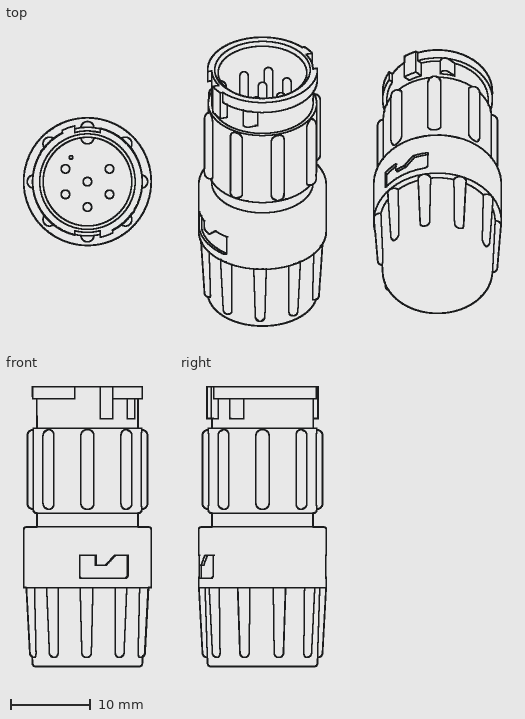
import cadquery as cq
import math

TOTAL_HEIGHT = 35.05
COLLAR_BOTTOM = 9.9
COLLAR_TOP = 17.48
SLEEVE_BOTTOM = 19.2
SLEEVE_TOP = 29.85
FLANGE_THICKNESS = 1.55
KEY_LENGTH = 4.0

CAP_BOTTOM_RADIUS = 6.88
CAP_TOP_RADIUS = 7.22
COLLAR_RADIUS = 8.0
NECK_RADIUS = 6.35
SLEEVE_RADIUS = 6.8
FLANGE_RADIUS = 6.88
CAP_ROUND = 0.45
COLLAR_ROUND = 0.33
SLEEVE_ROUND = 0.42

CAP_CLOCKING = 17.1

SLEEVE_RIB_COUNT = 8
SLEEVE_RIB_RADIUS = 0.82
SLEEVE_RIB_TIP = 7.53
SLEEVE_RIB_BOTTOM = 19.7
SLEEVE_RIB_TOP = 29.65
SLEEVE_RIB_ROUND = 0.73

CAP_RIB_COUNT = 10
CAP_RIB_TOP_RADIUS = 0.8
CAP_RIB_BOTTOM_RADIUS = 0.6
CAP_RIB_TOP_CENTRE = 7.18
CAP_RIB_BOTTOM_CENTRE = 6.93
CAP_RIB_BALL_HEIGHT = 1.75
RIB_OVERLAP = 0.1

RECESS_DEPTH = 0.33
RECESS_BOTTOM = 11.05
RECESS_STEP = 12.72
RECESS_TOP = 13.95
RECESS_LEFT = -3.24
RECESS_ARM_EDGE = -1.3
RECESS_RIGHT = 3.06
RECESS_LEFT_CORNER = 0.25
RECESS_RIGHT_CORNER = 0.45

GAP_HALF_WIDTH = 1.58
KEY_OUTER_X = 3.15
KEY_RADIUS = 7.15
SIDE_KEY_X = 5.9
SIDE_KEY_NOSE_Y = 3.47
SIDE_KEY_NOSE_RADIUS = 0.6

BORE_RADIUS = 5.55
BORE_CHAMFER = 0.43
BORE_DEPTH = 10.0
PIN_RADIUS = 0.53
PIN_CIRCLE_RADIUS = 3.18
PIN_TIP_DEPTH = 2.05
BORE_KEY_RADIUS = 0.82
BORE_KEY_TIP_DEPTH = 0.72
MARK_RADIUS = 0.22
MARK_X = -2.05
MARK_Y = 3.03

FLANGE_BOTTOM = TOTAL_HEIGHT - FLANGE_THICKNESS
KEY_BOTTOM = TOTAL_HEIGHT - KEY_LENGTH
BORE_FLOOR = TOTAL_HEIGHT - BORE_DEPTH
AXIS_START = (0, 0, 0)
AXIS_END = (0, 0, 1)


def disc(radius, bottom, top):
    """Cylinder on the connector axis between two heights."""
    return cq.Workplane("XY").workplane(offset=bottom).circle(radius).extrude(top - bottom)


def box(x_min, x_max, y_min, y_max, z_min, z_max):
    """Axis-aligned box between the given limits."""
    return cq.Workplane("XY").box(
        x_max - x_min, y_max - y_min, z_max - z_min, centered=False
    ).translate((x_min, y_min, z_min))


def spin(shape, angle):
    """Rotate a shape about the connector axis."""
    return shape.rotate(AXIS_START, AXIS_END, angle)


def make_cap():
    """Slightly conical rear cap with a rounded bottom edge."""
    profile = [
        (0, 0),
        (CAP_BOTTOM_RADIUS, 0),
        (CAP_TOP_RADIUS, COLLAR_BOTTOM),
        (0, COLLAR_BOTTOM),
    ]
    cap = cq.Workplane("XZ").polyline(profile).close().revolve(360, (0, 0), (0, 1))
    cap = cap.faces("<Z").edges().fillet(CAP_ROUND)
    return spin(cap, CAP_CLOCKING - 90)


def make_cap_rib():
    """Tapered rib lying along the -Y side of the cap, with a ball at its lower end."""
    height = COLLAR_BOTTOM - CAP_RIB_BALL_HEIGHT
    lean = CAP_RIB_TOP_CENTRE - CAP_RIB_BOTTOM_CENTRE
    lean_angle = math.degrees(math.atan2(lean, height))
    diagonal = math.sqrt(0.5) * CAP_RIB_BOTTOM_RADIUS
    rib = (
        cq.Workplane("YZ")
        .moveTo(0, -CAP_RIB_BOTTOM_RADIUS)
        .threePointArc((diagonal, -diagonal), (CAP_RIB_BOTTOM_RADIUS, 0))
        .lineTo(CAP_RIB_TOP_RADIUS, height + RIB_OVERLAP)
        .lineTo(0, height + RIB_OVERLAP)
        .close()
        .revolve(360, (0, 0), (0, 1))
    )
    rib = rib.rotate(AXIS_START, (1, 0, 0), lean_angle)
    rib = rib.translate((0, -CAP_RIB_BOTTOM_CENTRE, CAP_RIB_BALL_HEIGHT))
    below_collar = disc(COLLAR_RADIUS + CAP_RIB_TOP_RADIUS, 0, COLLAR_BOTTOM)
    return rib.intersect(below_collar)


def make_recess():
    """Hooked bayonet recess on the -Y side of the collar."""
    slope_width = RECESS_TOP - RECESS_STEP
    outline = [
        (RECESS_LEFT, RECESS_BOTTOM),
        (RECESS_RIGHT, RECESS_BOTTOM),
        (RECESS_RIGHT, RECESS_TOP),
        (slope_width, RECESS_TOP),
        (0, RECESS_STEP),
        (RECESS_ARM_EDGE, RECESS_STEP),
        (RECESS_ARM_EDGE, RECESS_TOP),
        (RECESS_LEFT, RECESS_TOP),
    ]
    hook = cq.Workplane("XZ").polyline(outline).close().extrude(COLLAR_RADIUS + 1)
    hook = hook.faces("<Z").edges("<X").fillet(RECESS_LEFT_CORNER)
    hook = hook.faces("<Z").edges(">X").fillet(RECESS_RIGHT_CORNER)
    return hook.cut(disc(COLLAR_RADIUS - RECESS_DEPTH, 0, TOTAL_HEIGHT))


def make_collar():
    """Wide collar with a rounded upper edge and two opposite recesses."""
    collar = disc(COLLAR_RADIUS, COLLAR_BOTTOM, COLLAR_TOP)
    collar = collar.faces(">Z").edges().fillet(COLLAR_ROUND)
    recess = make_recess()
    for half_turn in (0, 180):
        collar = collar.cut(spin(recess, CAP_CLOCKING + half_turn))
    return collar


def make_sleeve():
    """Coupling sleeve with a rounded lower edge and round-ended ribs."""
    sleeve = disc(SLEEVE_RADIUS, SLEEVE_BOTTOM, SLEEVE_TOP)
    sleeve = sleeve.faces("<Z").edges().fillet(SLEEVE_ROUND)
    rib = disc(SLEEVE_RIB_RADIUS, SLEEVE_RIB_BOTTOM, SLEEVE_RIB_TOP)
    rib = rib.faces("<Z or >Z").edges().fillet(SLEEVE_RIB_ROUND)
    rib = rib.translate((SLEEVE_RIB_TIP - SLEEVE_RIB_RADIUS, 0, 0))
    for index in range(SLEEVE_RIB_COUNT):
        sleeve = sleeve.union(spin(rib, index * 360 / SLEEVE_RIB_COUNT))
    return sleeve


def make_side_key():
    """Key under the flange on the +X, -Y side: flat outer face running into a round nose."""
    nose_x = SIDE_KEY_X - SIDE_KEY_NOSE_RADIUS
    inner_x = nose_x - SIDE_KEY_NOSE_RADIUS
    flat = box(inner_x, SIDE_KEY_X, -SIDE_KEY_NOSE_Y, 0, KEY_BOTTOM, FLANGE_BOTTOM)
    nose = disc(SIDE_KEY_NOSE_RADIUS, KEY_BOTTOM, FLANGE_BOTTOM)
    return flat.union(nose.translate((nose_x, -SIDE_KEY_NOSE_Y, 0)))


def make_flange():
    """Mouth flange with two opposite gaps, plus the coding keys beside and below it."""
    flange = disc(FLANGE_RADIUS, FLANGE_BOTTOM, TOTAL_HEIGHT)
    gap = box(-GAP_HALF_WIDTH, GAP_HALF_WIDTH, -COLLAR_RADIUS, COLLAR_RADIUS, FLANGE_BOTTOM, TOTAL_HEIGHT)
    flange = flange.cut(gap)
    key = box(GAP_HALF_WIDTH, KEY_OUTER_X, -COLLAR_RADIUS, 0, KEY_BOTTOM, TOTAL_HEIGHT)
    key = key.intersect(disc(KEY_RADIUS, KEY_BOTTOM, TOTAL_HEIGHT))
    side_key = make_side_key()
    for half_turn in (0, 180):
        flange = flange.union(spin(key, half_turn))
        flange = flange.union(spin(side_key, half_turn))
    return flange


def make_bore():
    """Blind socket with a chamfered mouth."""
    bore = disc(BORE_RADIUS, BORE_FLOOR, TOTAL_HEIGHT)
    mouth = cq.Solid.makeCone(
        BORE_RADIUS,
        BORE_RADIUS + BORE_CHAMFER,
        BORE_CHAMFER,
        cq.Vector(0, 0, TOTAL_HEIGHT - BORE_CHAMFER),
    )
    return bore.union(cq.Workplane(mouth))


def domed_pin(x, y, radius, tip_depth):
    """Round pin standing on the socket floor with a hemispherical tip."""
    ball_height = TOTAL_HEIGHT - tip_depth - radius
    shank = disc(radius, BORE_FLOOR, ball_height)
    ball = cq.Workplane("XY").sphere(radius).translate((0, 0, ball_height))
    return shank.union(ball).translate((x, y, 0))


def add_contacts(body):
    """Centre contact, five contacts on a hexagon, and the domed key in the socket wall."""
    body = body.union(domed_pin(0, 0, PIN_RADIUS, PIN_TIP_DEPTH))
    for angle in (30, 150, 210, 270, 330):
        x = PIN_CIRCLE_RADIUS * math.cos(math.radians(angle))
        y = PIN_CIRCLE_RADIUS * math.sin(math.radians(angle))
        body = body.union(domed_pin(x, y, PIN_RADIUS, PIN_TIP_DEPTH))
    return body.union(domed_pin(0, BORE_RADIUS, BORE_KEY_RADIUS, BORE_KEY_TIP_DEPTH))


body = make_cap()
cap_rib = make_cap_rib()
rib_pitch = 360 / CAP_RIB_COUNT
for index in range(CAP_RIB_COUNT):
    body = body.union(spin(cap_rib, CAP_CLOCKING + (index + 0.5) * rib_pitch))
body = body.union(make_collar())
body = body.union(disc(NECK_RADIUS, COLLAR_TOP, TOTAL_HEIGHT))
body = body.union(make_sleeve())
body = body.union(make_flange())
body = body.cut(make_bore())
body = add_contacts(body)
mark = cq.Workplane("XY").sphere(MARK_RADIUS).translate((MARK_X, MARK_Y, BORE_FLOOR))
result = body.union(mark)